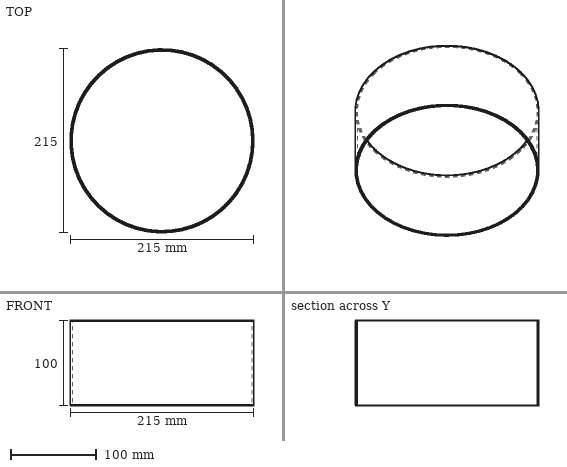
import cadquery as cq
import math

outer_diameter = 215.0
height = 100.0
wall = 2.4
outer_bevel_height = 1.2
outer_bevel_angle = 20.0
inner_chamfer = 0.6

outer_radius = outer_diameter / 2
inner_radius = outer_radius - wall
outer_bevel_width = outer_bevel_height * math.tan(math.radians(outer_bevel_angle))
rim_outer_radius = outer_radius - outer_bevel_width
rim_inner_radius = inner_radius + inner_chamfer


def wall_section():
    """Cross-section of the wall in the XZ plane, as (radius, height) points.

    Both rims carry a steep bevel outside and a 45 degree chamfer inside.
    """
    return (
        cq.Workplane("XZ")
        .moveTo(inner_radius, inner_chamfer)
        .lineTo(rim_inner_radius, 0)
        .lineTo(rim_outer_radius, 0)
        .lineTo(outer_radius, outer_bevel_height)
        .lineTo(outer_radius, height - outer_bevel_height)
        .lineTo(rim_outer_radius, height)
        .lineTo(rim_inner_radius, height)
        .lineTo(inner_radius, height - inner_chamfer)
        .close()
    )


def ring():
    """Tube around the Z axis, standing on the XY plane."""
    return wall_section().revolve(360, (0, 0, 0), (0, 1, 0))


result = ring()